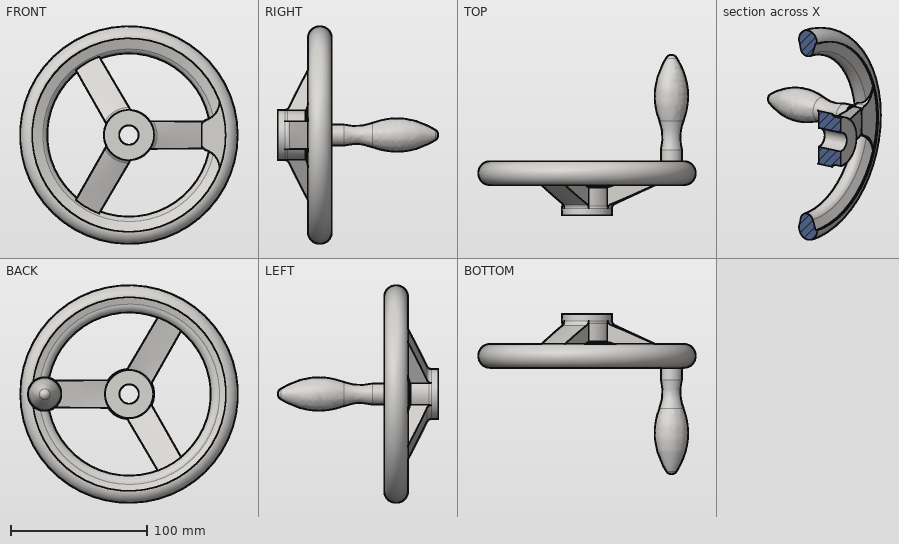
import cadquery as cq
import math

outer_radius = 80.0
rim_width = 17.8
dish_radius = 71.0
rim_front = 22.0
rim_back = rim_front + rim_width
rim_middle = rim_front + rim_width / 2
dish_step = 1.5
inner_bead_radius = 6.4
inner_bead_y = 32.0
inner_radius = 59.8
dish_inner_radius = 63.4

hub_radius = 37.0 / 2
hub_rear_radius = 18.2
hub_taper_end = 7.0
hub_length = 21.0
hub_chamfer = 0.6
bore_diameter = 14.0
collar_start = 5.3
collar_end = 8.3
flare_radius = 20.5

spoke_count = 3
spoke_root_width = 20.8
spoke_tip_width = 19.8
spoke_tip = 61.6
spoke_back_slope = 0.31
spoke_back_at_hub = 21.0

pad_front = rim_front + dish_step
pad_inner_x = 53.5
pad_back = spoke_back_at_hub + spoke_back_slope * (pad_inner_x - hub_radius)
handle_x = 62.0
handle_start = (pad_front + pad_back) / 2
boss_radius = 16.0 / 2
handle_base_radius = 7.8
handle_base_end = 48.3
neck_radius = 6.7
neck_y = 58.4
grip_start_radius = 9.0
grip_start = 69.5
grip_radius = 12.4
grip_widest = 87.0
tip_radius = 4.0
tip_start = 115.5
handle_end = 117.9


def revolve_about_y(profile):
    """Revolve a closed (radius, Y) profile about the wheel axis."""
    return profile.revolve(360, (0, 0, 0), (0, 1, 0))


def make_rim():
    bead_x = inner_radius + inner_bead_radius
    dish_x = dish_inner_radius - bead_x
    dish_inner_y = inner_bead_y - math.sqrt(inner_bead_radius**2 - dish_x**2)
    profile = (
        cq.Workplane("XY")
        .moveTo(dish_radius, rim_front + dish_step)
        .lineTo(dish_radius, rim_front)
        .lineTo(outer_radius - rim_width / 2, rim_front)
        .threePointArc((outer_radius, rim_middle), (outer_radius - rim_width / 2, rim_back))
        .lineTo(bead_x, inner_bead_y + inner_bead_radius)
        .threePointArc((inner_radius, inner_bead_y), (dish_inner_radius, dish_inner_y))
        .close()
    )
    return revolve_about_y(profile)


def make_hub():
    profile = (
        cq.Workplane("XY")
        .lineTo(hub_radius, 0)
        .lineTo(hub_radius, collar_start)
        .lineTo(hub_rear_radius, hub_taper_end)
        .lineTo(hub_rear_radius, hub_length - hub_chamfer)
        .lineTo(hub_rear_radius - hub_chamfer, hub_length)
        .lineTo(0, hub_length)
        .close()
    )
    return revolve_about_y(profile)


def make_spoke():
    """Tapered arm along +X with conical front and back faces about the wheel axis."""
    front_slope = (pad_front - collar_end) / (pad_inner_x - flare_radius)
    tip_front = collar_end + front_slope * (spoke_tip - flare_radius)
    tip_back = spoke_back_at_hub + spoke_back_slope * (spoke_tip - hub_radius)
    hub_back = spoke_back_at_hub - spoke_back_slope * hub_radius
    flare_bulge = 0.3
    flare_middle = (
        (hub_radius + flare_radius) / 2 - flare_bulge,
        (collar_start + collar_end) / 2 + flare_bulge,
    )
    profile = (
        cq.Workplane("XY")
        .moveTo(0, collar_start)
        .lineTo(hub_radius, collar_start)
        .threePointArc(flare_middle, (flare_radius, collar_end))
        .lineTo(spoke_tip, tip_front)
        .lineTo(spoke_tip, tip_back)
        .lineTo(0, hub_back)
        .close()
    )
    plan = (
        cq.Workplane("XZ")
        .moveTo(0, -spoke_root_width / 2)
        .lineTo(spoke_tip, -spoke_tip_width / 2)
        .lineTo(spoke_tip, spoke_tip_width / 2)
        .lineTo(0, spoke_root_width / 2)
        .close()
        .extrude(-rim_back)
    )
    return revolve_about_y(profile).intersect(plan)


def make_pad():
    """Flat pad with rounded inner corners that sweep out into the rim."""
    inner_half_width = 8.0
    corner_x, corner_z = 57.9, 11.7
    corner_mid = (55.2, 10.4)
    sweep_mid = (63.5, 15.8)
    rim_x = 66.4
    rim_z = math.sqrt(dish_radius**2 - rim_x**2)
    return (
        cq.Workplane("XZ")
        .moveTo(pad_inner_x, -inner_half_width)
        .lineTo(pad_inner_x, inner_half_width)
        .threePointArc(corner_mid, (corner_x, corner_z))
        .threePointArc(sweep_mid, (rim_x, rim_z))
        .threePointArc((dish_radius, 0), (rim_x, -rim_z))
        .threePointArc((sweep_mid[0], -sweep_mid[1]), (corner_x, -corner_z))
        .threePointArc((corner_mid[0], -corner_mid[1]), (pad_inner_x, -inner_half_width))
        .close()
        .extrude(pad_front - pad_back)
        .translate((0, pad_front, 0))
    )


def make_handle():
    tip_height = handle_end - tip_start
    tip_sphere = (tip_radius**2 + tip_height**2) / (2 * tip_height)
    half_angle = math.asin(tip_radius / tip_sphere) / 2
    tip_middle = (
        tip_sphere * math.sin(half_angle),
        handle_end - tip_sphere * (1 - math.cos(half_angle)),
    )
    profile = (
        cq.Workplane("XY")
        .moveTo(0, handle_start)
        .lineTo(boss_radius, handle_start)
        .lineTo(boss_radius, rim_back)
        .lineTo(handle_base_radius, rim_back)
        .lineTo(handle_base_radius, handle_base_end)
        .spline([(neck_radius, neck_y), (grip_start_radius, grip_start)], includeCurrent=True)
        .spline([(grip_radius, grip_widest), (tip_radius, tip_start)], includeCurrent=True)
        .threePointArc(tip_middle, (0, handle_end))
        .close()
    )
    return revolve_about_y(profile).translate((handle_x, 0, 0))


wheel = make_rim().union(make_hub())
spoke = make_spoke()
for index in range(spoke_count):
    angle = index * 360 / spoke_count
    wheel = wheel.union(spoke.rotate((0, 0, 0), (0, 1, 0), angle))

wheel = wheel.union(make_pad())
bore = cq.Workplane("XZ").circle(bore_diameter / 2).extrude(-hub_length)
result = wheel.union(make_handle()).cut(bore)